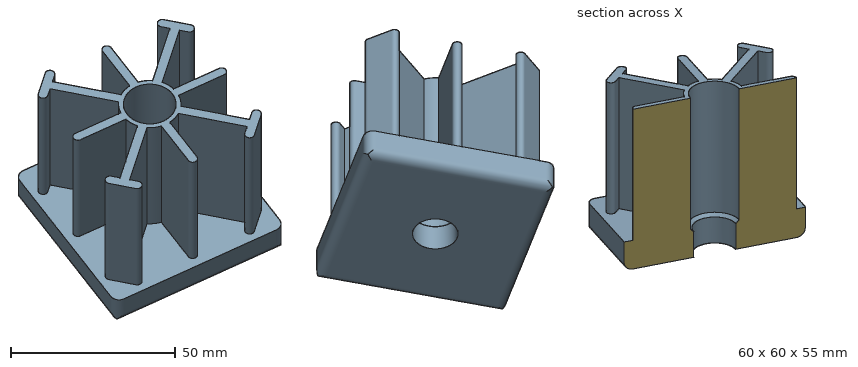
import cadquery as cq
import math

cap_side = 60.0
cap_height = 10.0
corner_radius = 3.0
bottom_round = 3.0

total_height = 55.0
insert_height = total_height - cap_height
tube_outer_diameter = 19.0
tube_bore_diameter = 16.0
cap_hole_diameter = 13.85
seat_half_angle = 45.0

rib_thickness = 3.0
straight_rib_reach = 27.0
diagonal_web_thickness = 3.0
crossbar_length = 11.5
crossbar_thickness = 3.0
crossbar_center_radius = 32.45


def make_cap():
    """Square plate with rounded corners and a bottom rounding that is mitered at the corners."""
    block = cq.Workplane("XY").rect(cap_side, cap_side).extrude(cap_height)
    upright = block.edges("|Z").fillet(corner_radius)
    rounded_below = block.faces("<Z").edges().fillet(bottom_round)
    return upright.intersect(rounded_below)


def insert_plane():
    return cq.Workplane("XY").workplane(offset=cap_height)


def make_straight_rib(angle):
    """Radial rib with a round outer end."""
    length = straight_rib_reach + rib_thickness / 2
    center = (straight_rib_reach - rib_thickness / 2) / 2
    rib = insert_plane().center(center, 0).slot2D(length, rib_thickness).extrude(insert_height)
    return rib.rotate((0, 0, 0), (0, 0, 1), angle)


def make_diagonal_rib(angle):
    """Radial web ending in a round-ended crossbar."""
    web = (
        insert_plane()
        .center(crossbar_center_radius / 2, 0)
        .rect(crossbar_center_radius, diagonal_web_thickness)
        .extrude(insert_height)
    )
    crossbar = (
        insert_plane()
        .center(crossbar_center_radius, 0)
        .slot2D(crossbar_length, crossbar_thickness, 90)
        .extrude(insert_height)
    )
    return web.union(crossbar).rotate((0, 0, 0), (0, 0, 1), angle)


body = make_cap().union(insert_plane().circle(tube_outer_diameter / 2).extrude(insert_height))
for quarter_turn in (0, 90, 180, 270):
    body = body.union(make_straight_rib(quarter_turn))
    body = body.union(make_diagonal_rib(quarter_turn + 45))

tube_bore = insert_plane().circle(tube_bore_diameter / 2).extrude(insert_height)
cap_hole = cq.Workplane("XY").circle(cap_hole_diameter / 2).extrude(cap_height)

seat_depth = (tube_bore_diameter - cap_hole_diameter) / 2 / math.tan(math.radians(seat_half_angle))
seat = (
    cq.Workplane("XY")
    .workplane(offset=cap_height - seat_depth)
    .circle(cap_hole_diameter / 2)
    .workplane(offset=seat_depth)
    .circle(tube_bore_diameter / 2)
    .loft()
)

result = body.cut(tube_bore).cut(cap_hole).cut(seat)